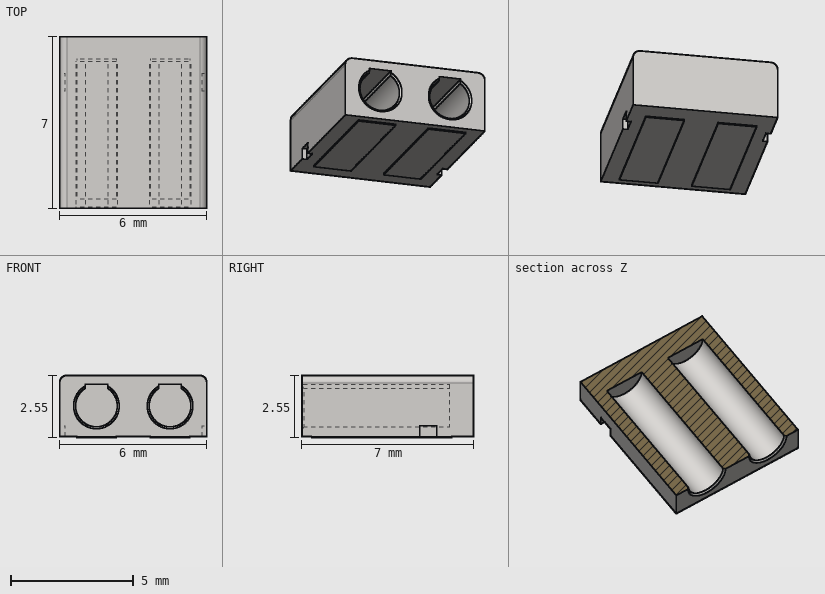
import cadquery as cq

width = 6.0
length = 7.0
body_height = 2.5
top_edge_radius = 0.3

wire_pitch = 3.0
bore_radius = 0.85
bore_depth = 6.0
bore_height = body_height / 2
entry_chamfer = 0.08

keyway_width = 0.92
keyway_top = 0.885

contact_width = 1.6
contact_proud = 0.05
contact_front = -3.1
contact_back = 2.6

notch_front = 1.3
notch_back = 2.0
notch_height = 0.45
notch_depth = 0.2

front_face = -length / 2
wire_positions = (-wire_pitch / 2, wire_pitch / 2)


def box_between(x_range, y_range, z_range):
    """Box spanning the given (low, high) range on each axis."""
    low, high = zip(x_range, y_range, z_range)
    size = [b - a for a, b in zip(low, high)]
    return cq.Workplane("XY").box(*size, centered=False).translate(low)


def housing():
    """Block with rounded long top edges."""
    block = cq.Workplane("XY").box(width, length, body_height, centered=(True, True, False))
    return block.edges("|Y and >Z").fillet(top_edge_radius)


def wire_entry(x):
    """Cutter for one keyed bore whose mouth is chamfered everywhere but at the keyway."""
    mouth = cq.Workplane("XZ", origin=(x, front_face, bore_height))
    bore = mouth.circle(bore_radius).extrude(-bore_depth)
    chamfer = cq.Workplane(
        cq.Solid.makeCone(
            bore_radius + entry_chamfer,
            bore_radius,
            entry_chamfer,
            pnt=cq.Vector(x, front_face, bore_height),
            dir=cq.Vector(0, 1, 0),
        )
    )
    keyway_sides = (x - keyway_width / 2, x + keyway_width / 2)
    bore_run = (front_face, front_face + bore_depth)
    above_axis = box_between(keyway_sides, bore_run, (bore_height, body_height))
    keyway = box_between(keyway_sides, bore_run, (bore_height, bore_height + keyway_top))
    return chamfer.cut(above_axis).union(bore).union(keyway)


def contact(x):
    """Flat solder contact under one bore."""
    sides = (x - contact_width / 2, x + contact_width / 2)
    return box_between(sides, (contact_front, contact_back), (-contact_proud, 0))


def side_notch(side):
    """Cutter for the notch in the side wall at -X (side = -1) or +X (side = 1)."""
    outer = side * width / 2
    inner = outer - side * notch_depth
    x_range = (min(outer, inner), max(outer, inner))
    return box_between(x_range, (notch_front, notch_back), (0, notch_height))


result = housing()
for side in (-1, 1):
    result = result.cut(side_notch(side))
for wire_x in wire_positions:
    result = result.cut(wire_entry(wire_x)).union(contact(wire_x))